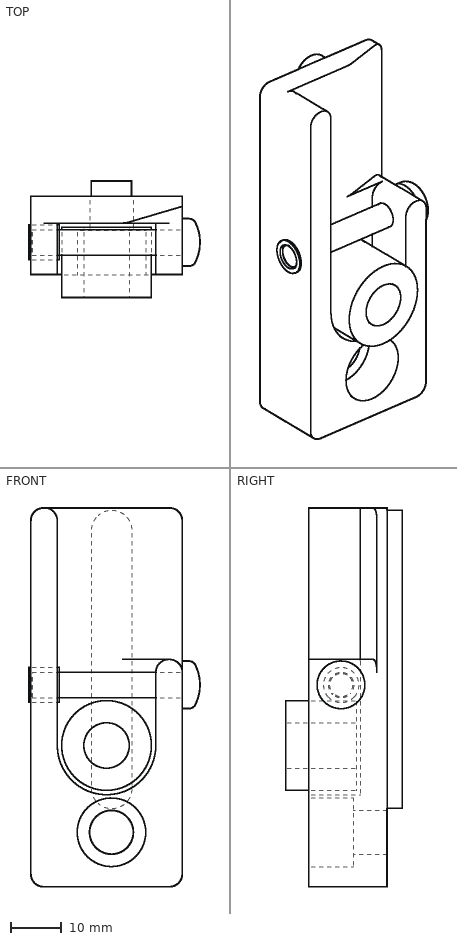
import cadquery as cq
import math


WIDTH = 30.0
HEIGHT = 75.0
DEPTH = 15.5
CORNER_RADIUS = 2.55
HALF_WIDTH = WIDTH / 2

WALL = 5.25
CHANNEL_WIDTH = WIDTH - 2 * WALL
CHANNEL_RADIUS = CHANNEL_WIDTH / 2
CHANNEL_DEPTH = 10.2
ROLLER_Z = 28.0
SHOULDER_Z = 45.0

BEVEL_START_X = 3.8
BEVEL_DROP = 3.3
BEVEL_BLEND_RADIUS = 4.35

MOUNT_X = 1.0
MOUNT_Z = 10.8
MOUNT_DIAMETER = 8.6
COUNTERBORE_DIAMETER = 13.6
COUNTERBORE_DEPTH = 8.8
KEY_WIDTH = 8.0
KEY_LENGTH = 59.0
KEY_BASE_Z = 15.5
KEY_THICKNESS = 3.0

ROLLER_DIAMETER = 17.8
ROLLER_BORE = 9.0
ROLLER_PROTRUSION = 4.6
ROLLER_GAP = 0.8

BOLT_Y = 6.4
BOLT_Z = 40.0
BOLT_DIAMETER = 5.0
BOLT_TIP_DIAMETER = 4.6
BOLT_TIP_RECESS = 0.45
HEAD_DIAMETER = 9.45
HEAD_HEIGHT = 3.5
HEAD_RIM = 1.3
HEAD_EDGE_RADIUS = 1.5
SLEEVE_DIAMETER = 7.0
SLEEVE_PROTRUSION = 0.4
SLEEVE_LENGTH = WALL + 2 * SLEEVE_PROTRUSION


def cylinder_along_x(diameter, start_x, end_x):
    """Cylinder on the cross bolt axis."""
    plane = cq.Plane(origin=(start_x, BOLT_Y, BOLT_Z), xDir=(0, 1, 0), normal=(1, 0, 0))
    return cq.Workplane(plane).circle(diameter / 2).extrude(end_x - start_x)


def cylinder_along_y(diameter, x, z, start_y, end_y):
    """Cylinder running from front to rear."""
    plane = cq.Plane(origin=(x, start_y, z), xDir=(1, 0, 0), normal=(0, 1, 0))
    return cq.Workplane(plane).circle(diameter / 2).extrude(end_y - start_y)


def make_block():
    """Back plate with the tall left wall and the short right wall."""
    plate = cq.Workplane("XY").box(WIDTH, DEPTH, HEIGHT, centered=(True, False, False))
    plate = plate.edges("|Y").fillet(CORNER_RADIUS)

    channel = (
        cq.Workplane("XZ")
        .moveTo(-CHANNEL_RADIUS, HEIGHT)
        .lineTo(-CHANNEL_RADIUS, ROLLER_Z)
        .threePointArc((0, ROLLER_Z - CHANNEL_RADIUS), (CHANNEL_RADIUS, ROLLER_Z))
        .lineTo(CHANNEL_RADIUS, SHOULDER_Z)
        .lineTo(HALF_WIDTH, SHOULDER_Z)
        .lineTo(HALF_WIDTH, HEIGHT)
        .close()
        .extrude(-CHANNEL_DEPTH)
    )
    return plate.cut(channel).cut(make_bevel())


def make_bevel():
    """Wedge that thins the back plate towards its right edge."""
    wedge = (
        cq.Workplane("XY", origin=(0, 0, SHOULDER_Z))
        .moveTo(0, 0)
        .lineTo(0, CHANNEL_DEPTH)
        .lineTo(BEVEL_START_X, CHANNEL_DEPTH)
        .lineTo(HALF_WIDTH, CHANNEL_DEPTH + BEVEL_DROP)
        .lineTo(HALF_WIDTH, 0)
        .close()
        .extrude(HEIGHT - SHOULDER_Z)
    )
    bend = cq.selectors.NearestToPointSelector((BEVEL_START_X, CHANNEL_DEPTH, (SHOULDER_Z + HEIGHT) / 2))
    return wedge.edges(bend).fillet(BEVEL_BLEND_RADIUS)


def round_wall_tops(block):
    """Round the inner top edge of both walls and the outer edge of the short one."""
    wall_top_edges = (
        (-CHANNEL_RADIUS, HEIGHT),
        (CHANNEL_RADIUS, SHOULDER_Z),
        (HALF_WIDTH, SHOULDER_Z),
    )
    for x, z in wall_top_edges:
        edge = cq.selectors.NearestToPointSelector((x, CHANNEL_DEPTH / 2, z))
        block = block.edges("|Y").edges(edge).fillet(CORNER_RADIUS)
    return block


def make_key():
    """Round-ended key on the rear face."""
    return (
        cq.Workplane("XZ", origin=(MOUNT_X, DEPTH, KEY_BASE_Z + KEY_LENGTH / 2))
        .slot2D(KEY_LENGTH, KEY_WIDTH, 90)
        .extrude(-KEY_THICKNESS)
    )


def make_housing():
    housing = round_wall_tops(make_block()).union(make_key())
    mount_hole = cylinder_along_y(MOUNT_DIAMETER, MOUNT_X, MOUNT_Z, 0, DEPTH)
    counterbore = cylinder_along_y(COUNTERBORE_DIAMETER, MOUNT_X, MOUNT_Z, 0, COUNTERBORE_DEPTH)
    sleeve_hole = cylinder_along_x(SLEEVE_DIAMETER, -HALF_WIDTH, -CHANNEL_RADIUS)
    bolt_hole = cylinder_along_x(BOLT_DIAMETER, CHANNEL_RADIUS, HALF_WIDTH)
    return housing.cut(mount_hole).cut(counterbore).cut(sleeve_hole).cut(bolt_hole)


def make_roller():
    rear_y = CHANNEL_DEPTH - ROLLER_GAP
    body = cylinder_along_y(ROLLER_DIAMETER, 0, ROLLER_Z, -ROLLER_PROTRUSION, rear_y)
    bore = cylinder_along_y(ROLLER_BORE, 0, ROLLER_Z, -ROLLER_PROTRUSION, rear_y)
    return body.cut(bore)


def make_sleeve():
    start_x = -HALF_WIDTH - SLEEVE_PROTRUSION
    end_x = start_x + SLEEVE_LENGTH
    body = cylinder_along_x(SLEEVE_DIAMETER, start_x, end_x)
    return body.cut(cylinder_along_x(BOLT_DIAMETER, start_x, end_x))


def make_bolt():
    """Bolt with a chamfered tip and a domed head, revolved about its axis."""
    tip_x = -HALF_WIDTH - SLEEVE_PROTRUSION + BOLT_TIP_RECESS
    shank_radius = BOLT_DIAMETER / 2
    tip_radius = BOLT_TIP_DIAMETER / 2
    head_radius = HEAD_DIAMETER / 2

    edge_centre_x = HALF_WIDTH + HEAD_RIM
    edge_centre_r = head_radius - HEAD_EDGE_RADIUS
    crown = HEAD_HEIGHT - HEAD_RIM
    dome_radius = (edge_centre_r**2 + crown**2 - HEAD_EDGE_RADIUS**2) / (2 * (crown - HEAD_EDGE_RADIUS))
    dome_centre_x = HALF_WIDTH + HEAD_HEIGHT - dome_radius
    dome_angle = math.atan2(edge_centre_r, edge_centre_x - dome_centre_x)
    dome_start = (
        dome_centre_x + dome_radius * math.cos(dome_angle),
        dome_radius * math.sin(dome_angle),
    )
    dome_middle = (
        dome_centre_x + dome_radius * math.cos(dome_angle / 2),
        dome_radius * math.sin(dome_angle / 2),
    )
    return (
        cq.Workplane("XY", origin=(0, BOLT_Y, BOLT_Z))
        .moveTo(tip_x, 0)
        .lineTo(tip_x, tip_radius)
        .lineTo(tip_x + shank_radius - tip_radius, shank_radius)
        .lineTo(HALF_WIDTH, shank_radius)
        .lineTo(HALF_WIDTH, head_radius)
        .lineTo(HALF_WIDTH + HEAD_RIM, head_radius)
        .tangentArcPoint(dome_start, relative=False)
        .threePointArc(dome_middle, (HALF_WIDTH + HEAD_HEIGHT, 0))
        .close()
        .revolve(360, (0, 0, 0), (1, 0, 0))
    )


housing = make_housing()
roller = make_roller()
sleeve = make_sleeve()
bolt = make_bolt()

result = cq.Compound.makeCompound([housing.val(), roller.val(), sleeve.val(), bolt.val()])